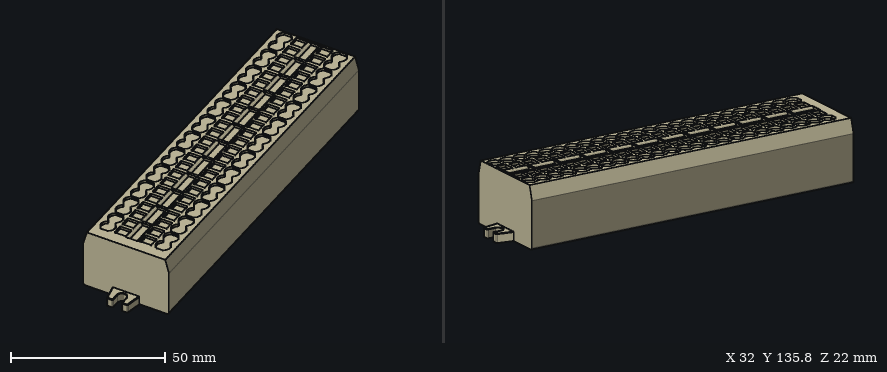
import cadquery as cq
import math

WIDTH = 32.0
HEIGHT = 22.0
TOTAL_LENGTH = 135.8
BODY_LENGTH = 124.1
TOP_WIDTH = 29.3
BEVEL_HEIGHT = 4.9
BOTTOM_EDGE_RADIUS = 0.8

TAB_HEIGHT = 3.3
TAB_ROOT_WIDTH = 10.0
TAB_TIP_WIDTH = 7.7
TAB_SLOT_WIDTH = 3.3
TAB_SLOT_FLOOR = 1.1
TAB_TIP_FILLET = 0.4
TAB_TOP_CHAMFER = 0.2

ROW_COUNT = 12
FIRST_ROW_Y = 56.8
ROW_SPAN = 110.0
ROW_PITCH = ROW_SPAN / (ROW_COUNT - 1)
POLE_PITCH = ROW_PITCH / 2
RECESS_DEPTH = 1.0

ENTRY_X = 10.3
ENTRY_RADIUS = 2.6
ENTRY_LENGTH = 9.6
ENTRY_NECK_WIDTH = 2.9

POCKET_X = 4.8
POCKET_WIDTH = 4.2
POCKET_LENGTH = 3.7

TROUGH_FLOOR_WIDTH = 2.7
TROUGH_LENGTH = 9.1
TROUGH_OFFSET_Y = -0.1
TROUGH_RIM_RADIUS = RECESS_DEPTH

RECESS_FLOOR_Z = HEIGHT - RECESS_DEPTH


def block_on_floor(x, y, width, length):
    """Cutter block standing on the recess floor and reaching the top face."""
    block = cq.Workplane("XY").box(width, length, RECESS_DEPTH, centered=(True, True, False))
    return block.translate((x, y, RECESS_FLOOR_Z))


def make_body():
    profile = (
        cq.Workplane("XZ")
        .moveTo(-WIDTH / 2, 0)
        .lineTo(WIDTH / 2, 0)
        .lineTo(WIDTH / 2, HEIGHT - BEVEL_HEIGHT)
        .lineTo(TOP_WIDTH / 2, HEIGHT)
        .lineTo(-TOP_WIDTH / 2, HEIGHT)
        .lineTo(-WIDTH / 2, HEIGHT - BEVEL_HEIGHT)
        .close()
    )
    body = profile.extrude(BODY_LENGTH / 2, both=True)
    return body.edges("|Y and <Z").fillet(BOTTOM_EDGE_RADIUS)


def make_tab():
    """Tab on the +Y end."""
    root_y = BODY_LENGTH / 2
    tip_y = TOTAL_LENGTH / 2
    slot_radius = TAB_SLOT_WIDTH / 2
    slot_arc_y = root_y + TAB_SLOT_FLOOR + slot_radius
    tab = (
        cq.Workplane("XY")
        .moveTo(-TAB_ROOT_WIDTH / 2, root_y)
        .lineTo(-TAB_TIP_WIDTH / 2, tip_y)
        .lineTo(-slot_radius, tip_y)
        .lineTo(-slot_radius, slot_arc_y)
        .threePointArc((0, slot_arc_y - slot_radius), (slot_radius, slot_arc_y))
        .lineTo(slot_radius, tip_y)
        .lineTo(TAB_TIP_WIDTH / 2, tip_y)
        .lineTo(TAB_ROOT_WIDTH / 2, root_y)
        .close()
        .extrude(TAB_HEIGHT)
    )
    tab = tab.faces(">Y").edges("|Z").fillet(TAB_TIP_FILLET)
    root_edge = cq.selectors.DirectionMinMaxSelector(cq.Vector(0, 1, 0), directionMax=False)
    top_edges = tab.faces(">Z").edges().edges(cq.selectors.InverseSelector(root_edge))
    return top_edges.chamfer(TAB_TOP_CHAMFER)


def make_entry(x):
    circles = (
        cq.Workplane("XY", origin=(x, 0, RECESS_FLOOR_Z))
        .pushPoints([(0, -POLE_PITCH / 2), (0, POLE_PITCH / 2)])
        .circle(ENTRY_RADIUS)
        .extrude(RECESS_DEPTH)
    )
    neck = block_on_floor(x, 0, ENTRY_NECK_WIDTH, POLE_PITCH)
    limits = block_on_floor(x, 0, 2 * ENTRY_RADIUS, ENTRY_LENGTH)
    return circles.union(neck).intersect(limits)


def make_trough():
    floor_half = TROUGH_FLOOR_WIDTH / 2
    rim_half = floor_half + TROUGH_RIM_RADIUS
    arc_offset = TROUGH_RIM_RADIUS * math.sqrt(0.5)
    arc_x = rim_half - arc_offset
    arc_z = RECESS_FLOOR_Z + arc_offset
    return (
        cq.Workplane("XZ", origin=(0, TROUGH_OFFSET_Y, 0))
        .moveTo(-floor_half, RECESS_FLOOR_Z)
        .lineTo(floor_half, RECESS_FLOOR_Z)
        .threePointArc((arc_x, arc_z), (rim_half, HEIGHT))
        .lineTo(-rim_half, HEIGHT)
        .threePointArc((-arc_x, arc_z), (-floor_half, RECESS_FLOOR_Z))
        .close()
        .extrude(TROUGH_LENGTH / 2, both=True)
    )


def make_row():
    """Cutter for all recesses of one terminal row, centred on y = 0."""
    row = make_trough()
    for side in (-1, 1):
        row = row.union(make_entry(side * ENTRY_X))
        for pole in (-1, 1):
            pocket_y = pole * POLE_PITCH / 2
            row = row.union(block_on_floor(side * POCKET_X, pocket_y, POCKET_WIDTH, POCKET_LENGTH))
    return row


tab = make_tab()
row_cutter = make_row()
result = make_body().union(tab).union(tab.mirror("XZ"))
for row_index in range(ROW_COUNT):
    row_y = FIRST_ROW_Y - row_index * ROW_PITCH
    result = result.cut(row_cutter.translate((0, row_y, 0)))